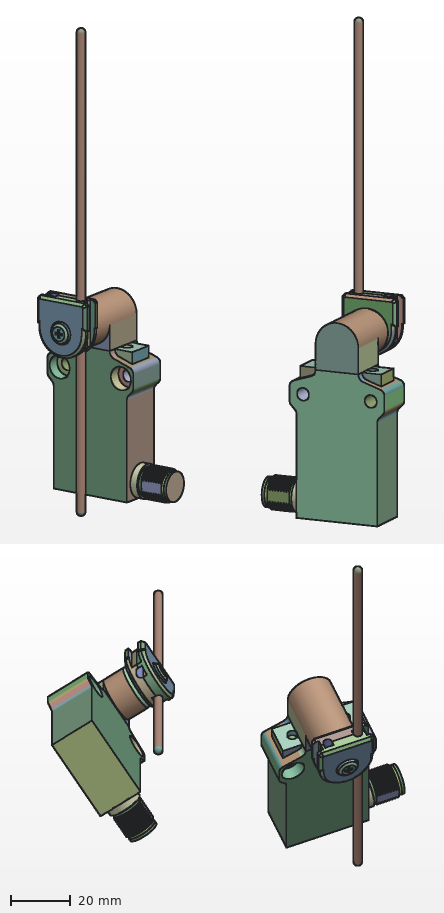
import cadquery as cq
import math


body_width = 30.0
body_depth = 16.0
body_height = 51.7
mid_depth = body_depth / 2
neck_width = 15.8
neck_radius = 2.5
flank_slope = math.radians(18)
ear_span = 35.0
ear_side_bottom = 39.3
ear_chamfer = (ear_span - body_width) / 2
ear_top_round = 2.0
ear_bottom_round = 2.0
bolt_spacing = 25.0
bolt_height = 42.8
bolt_diameter = 4.5
counterbore_diameter = 8.2
counterbore_depth = 4.5
tab_depth = 9.9
tab_hole_diameter = 3.5
tab_hole_spacing = 19.0
tab_hole_depth = 2.5

head_diameter = neck_width
head_axis_height = 60.7
head_front = 25.2
head_chamfer_length = 1.4
head_chamfer_width = 0.7

clamp_half_depth = 4.0
clamp_split = head_front + clamp_half_depth
clamp_front = clamp_split + clamp_half_depth
clamp_width = 20.0
clamp_waist = 15.8
clamp_top = 72.2
clamp_bottom = 51.8
clamp_ledge_height = 62.5
clamp_round_width = 19.0
clamp_chamfer = 1.0
flange_thickness = 2.2

rod_diameter = 3.0
rod_offset = 5.5
rod_length = 170
rod_bottom = -3.0

screw_head_diameter = 7.0
screw_crown_diameter = 5.0
screw_shank_diameter = 5.0
screw_tip = 34.7
screw_rim = clamp_front + 0.7
recess_diameter = 8.0
recess_floor = clamp_front - 2.0
cross_length = 2.7
cross_width = 0.7
cross_depth = 0.8

connector_diameter = 12.0
connector_height = 6.0
connector_end = 29.0
collar_end = 17.7
core_diameter = 10.4
tail_band_start = 28.0
tail_band_diameter = 10.5
thread_start = 18.9
thread_crest_diameter = 11.7
thread_root_diameter = 11.2
thread_pitch = 1.0
thread_turns = 8
flat_spacing = 10.5


def frontward_cylinder(diameter, start, end, x, z):
    """Cylinder along Y between two depths from the mounting face."""
    return cq.Workplane("XZ", origin=(x, -start, z)).circle(diameter / 2).extrude(end - start)


def make_half_plate():
    """Right half of the housing plate: side wall, ear, sloping flank and neck."""
    half_body = body_width / 2
    half_neck = neck_width / 2
    half_ear = ear_span / 2
    ear_slope_bottom = ear_side_bottom - ear_chamfer

    arc_centre_x = half_neck + neck_radius
    flank_x = arc_centre_x - neck_radius * math.sin(flank_slope)
    flank_z = body_height - neck_radius * math.cos(flank_slope)
    arc_mid_angle = (math.pi / 2 - flank_slope) / 2
    arc_mid_x = arc_centre_x - neck_radius * math.cos(arc_mid_angle)
    arc_mid_z = body_height - neck_radius * math.sin(arc_mid_angle)
    ear_side_top = flank_z - (half_ear - flank_x) * math.tan(flank_slope)

    plate = (
        cq.Workplane("XZ")
        .lineTo(half_body, 0)
        .lineTo(half_body, ear_slope_bottom)
        .lineTo(half_ear, ear_side_bottom)
        .lineTo(half_ear, ear_side_top)
        .lineTo(flank_x, flank_z)
        .threePointArc((arc_mid_x, arc_mid_z), (half_neck, body_height))
        .lineTo(0, body_height)
        .close()
        .extrude(body_depth)
    )
    rounded_corners = [
        (half_ear, ear_side_top, ear_top_round),
        (half_ear, ear_side_bottom, ear_bottom_round),
        (half_body, ear_slope_bottom, ear_bottom_round),
    ]
    for x, z, radius in rounded_corners:
        plate = plate.edges(cq.NearestToPointSelector((x, -mid_depth, z))).fillet(radius)
    return plate


def make_housing():
    half_plate = make_half_plate()
    housing = half_plate.union(half_plate.mirror("YZ"))

    tab_height = body_height - bolt_height
    tabs = (
        cq.Workplane("XY", origin=(0, -mid_depth, bolt_height))
        .rect(body_width, tab_depth)
        .extrude(tab_height)
    )
    housing = housing.union(tabs)

    for side in (-1, 1):
        bolt_x = side * bolt_spacing / 2
        bolt_hole = frontward_cylinder(bolt_diameter, 0, body_depth, bolt_x, bolt_height)
        counterbore = frontward_cylinder(
            counterbore_diameter, body_depth - counterbore_depth, body_depth, bolt_x, bolt_height
        )
        tab_hole = (
            cq.Workplane("XY", origin=(side * tab_hole_spacing / 2, -mid_depth, body_height))
            .circle(tab_hole_diameter / 2)
            .extrude(-tab_hole_depth)
        )
        housing = housing.cut(bolt_hole).cut(counterbore).cut(tab_hole)
    return housing


def make_head():
    """Barrel with a tapered nose, standing on a block that continues the neck."""
    barrel = (
        frontward_cylinder(head_diameter, 0, head_front, 0, head_axis_height)
        .faces("<Y")
        .chamfer(head_chamfer_length, head_chamfer_width)
    )
    block = (
        cq.Workplane("XY", origin=(0, -mid_depth, body_height))
        .rect(neck_width, body_depth)
        .extrude(head_axis_height - body_height)
    )
    return barrel.union(block)


def make_plain_clamp_half():
    """Front half without its screw recess: grooved flange plate with a round and a square rod seat."""
    half_width = clamp_width / 2
    round_radius = clamp_round_width / 2
    arc_start = clamp_bottom + round_radius
    half = (
        cq.Workplane("XZ", origin=(0, -clamp_split, 0))
        .moveTo(-half_width, clamp_top)
        .lineTo(half_width, clamp_top)
        .lineTo(half_width, clamp_ledge_height)
        .lineTo(round_radius, clamp_ledge_height)
        .lineTo(round_radius, arc_start)
        .threePointArc((0, clamp_bottom), (-round_radius, arc_start))
        .lineTo(-round_radius, clamp_ledge_height)
        .lineTo(-half_width, clamp_ledge_height)
        .close()
        .extrude(clamp_half_depth)
        .edges("|Y and >Z")
        .chamfer(clamp_chamfer)
        .faces("<Y")
        .chamfer(clamp_chamfer)
    )

    clamp_height = clamp_top - clamp_bottom
    groove_width = (clamp_width - clamp_waist) / 2
    groove_depth = clamp_half_depth - flange_thickness
    for side in (-1, 1):
        groove = cq.Workplane("XY").box(groove_width, groove_depth, clamp_height).translate(
            (
                side * (clamp_waist + groove_width) / 2,
                -clamp_split - groove_depth / 2,
                (clamp_top + clamp_bottom) / 2,
            )
        )
        half = half.cut(groove)

    seats = cq.Workplane("XY", origin=(0, -clamp_split, clamp_bottom))
    round_seat = seats.center(rod_offset, 0).circle(rod_diameter / 2).extrude(clamp_height)
    square_seat = seats.center(-rod_offset, 0).rect(rod_diameter, rod_diameter).extrude(clamp_height)
    screw_hole = frontward_cylinder(screw_shank_diameter, clamp_split, clamp_front, 0, head_axis_height)
    return half.cut(round_seat).cut(square_seat).cut(screw_hole)


def make_front_clamp():
    recess = frontward_cylinder(recess_diameter, recess_floor, clamp_front, 0, head_axis_height)
    return make_plain_clamp_half().cut(recess)


def make_rear_clamp():
    """The same half turned about the vertical axis, so round and square seats face each other."""
    return make_plain_clamp_half().rotate((0, -clamp_split, 0), (0, -clamp_split, 1), 180)


def make_rod():
    """Round rod with hemispherical ends."""
    radius = rod_diameter / 2
    shaft_bottom = rod_bottom + radius
    shaft_length = rod_length - rod_diameter
    rod = cq.Workplane("XY").circle(radius).extrude(shaft_length)
    for end in (0, shaft_length):
        rod = rod.union(cq.Workplane("XY", origin=(0, 0, end)).sphere(radius))
    return rod.translate((rod_offset, -clamp_split, shaft_bottom))


def make_screw():
    """Shank, and a tapered round head with a cross recess."""
    shank = frontward_cylinder(screw_shank_diameter, head_front, recess_floor, 0, head_axis_height)
    head = frontward_cylinder(screw_head_diameter, recess_floor, screw_tip, 0, head_axis_height)
    crown_width = (screw_head_diameter - screw_crown_diameter) / 2
    head = head.faces("<Y").chamfer(screw_tip - screw_rim, crown_width)
    screw = shank.union(head)

    cross = cq.Workplane("XZ", origin=(0, cross_depth - screw_tip, head_axis_height))
    for width, height in ((cross_length, cross_width), (cross_width, cross_length)):
        screw = screw.cut(cross.rect(width, height).extrude(cross_depth))
    return screw


def make_connector():
    """Collar, threaded sleeve with two flats, and a plain tail, all along X."""
    wall = body_width / 2
    crest_radius = thread_crest_diameter / 2
    root_radius = thread_root_diameter / 2
    thread_end = thread_start + thread_pitch * thread_turns

    def cylinder(diameter, start, end):
        plane = cq.Workplane("YZ", origin=(start, -mid_depth, connector_height))
        return plane.circle(diameter / 2).extrude(end - start)

    profile = cq.Workplane("XY").moveTo(thread_start, 0).lineTo(thread_start, root_radius)
    for turn in range(thread_turns):
        turn_start = thread_start + turn * thread_pitch
        profile = profile.lineTo(turn_start + thread_pitch / 3, crest_radius)
        profile = profile.lineTo(turn_start + thread_pitch * 2 / 3, crest_radius)
        profile = profile.lineTo(turn_start + thread_pitch, root_radius)
    sleeve = profile.lineTo(thread_end, 0).close().revolve(360, (0, 0, 0), (1, 0, 0))
    flats = cq.Workplane("XY").box(2 * connector_end, flat_spacing, 2 * connector_diameter)
    sleeve = sleeve.intersect(flats).translate((0, -mid_depth, connector_height))

    return (
        cylinder(core_diameter, wall, connector_end)
        .union(cylinder(connector_diameter, wall, collar_end))
        .union(cylinder(tail_band_diameter, tail_band_start, connector_end))
        .union(sleeve)
    )


housing = make_housing()
head = make_head()
rear_clamp = make_rear_clamp()
front_clamp = make_front_clamp()
rod = make_rod()
screw = make_screw()
connector = make_connector()

bodies = [housing, head, rear_clamp, front_clamp, rod, screw, connector]
result = cq.Compound.makeCompound([body.val() for body in bodies])